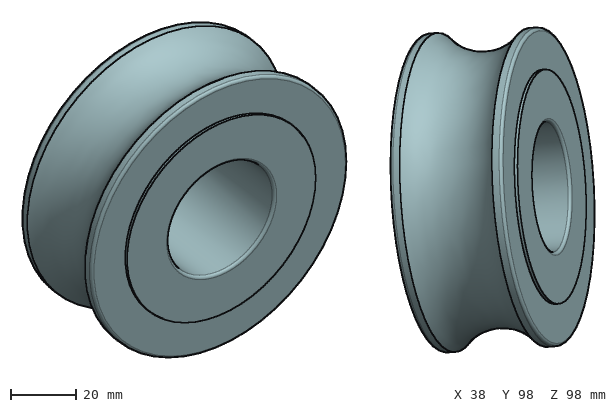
import cadquery as cq
import math

outer_diameter = 98.0
hub_diameter = 72.0
bore_diameter = 40.0
rim_width = 36.0
hub_width = 38.0
groove_radius = 20.0
groove_root_diameter = 85.0
rim_fillet = 1.0
bore_fillet = 1.0

groove_center_radius = groove_root_diameter / 2 + groove_radius
groove_center_offset = groove_center_radius - outer_diameter / 2
groove_half_width = math.sqrt(groove_radius**2 - groove_center_offset**2)


def make_profile():
    """Half section of the roller, with x along the axis and y as the radius."""
    bore_r = bore_diameter / 2
    hub_r = hub_diameter / 2
    outer_r = outer_diameter / 2
    half_rim = rim_width / 2
    half_hub = hub_width / 2
    return (
        cq.Workplane("XY")
        .moveTo(-half_hub, bore_r)
        .lineTo(-half_hub, hub_r)
        .lineTo(-half_rim, hub_r)
        .lineTo(-half_rim, outer_r)
        .lineTo(-groove_half_width, outer_r)
        .threePointArc((0, groove_root_diameter / 2), (groove_half_width, outer_r))
        .lineTo(half_rim, outer_r)
        .lineTo(half_rim, hub_r)
        .lineTo(half_hub, hub_r)
        .lineTo(half_hub, bore_r)
        .close()
    )


def ring_edges(body, width, diameter):
    """The two circular edges of the given diameter that lie the given width apart along X."""
    tolerance = 0.01
    matching = [
        edge
        for edge in body.edges("%CIRCLE").vals()
        if abs(abs(edge.Center().x) - width / 2) < tolerance
        and abs(edge.radius() - diameter / 2) < tolerance
    ]
    return body.newObject(matching)


roller = make_profile().revolve(360, (0, 0, 0), (1, 0, 0))
roller = ring_edges(roller, rim_width, outer_diameter).fillet(rim_fillet)
roller = ring_edges(roller, hub_width, bore_diameter).fillet(bore_fillet)

result = roller